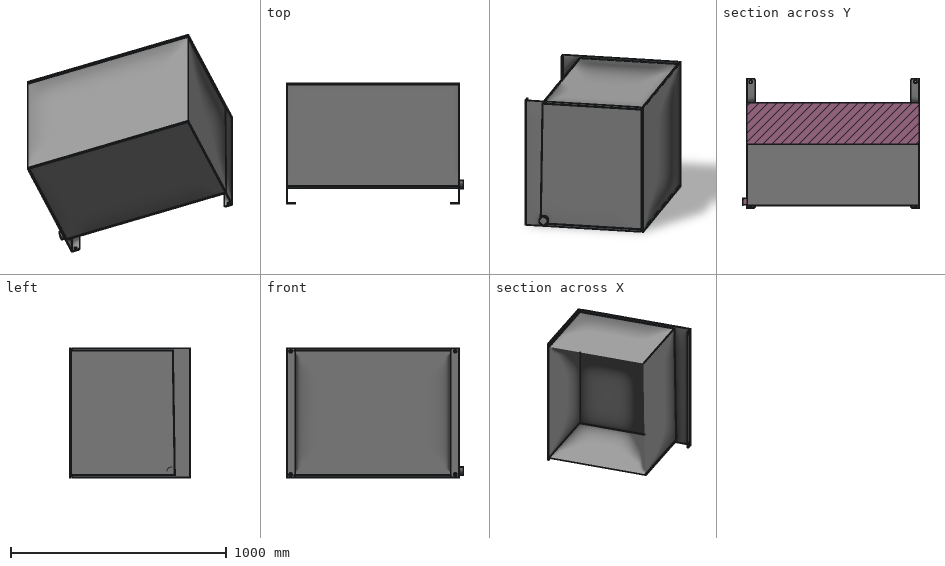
import cadquery as cq

overall_width = 820.0
depth = 559.0
height = 600.0
sheet = 3.0

pin_length = 19.0
width = overall_width - pin_length
back_thickness = 4.0
corner_gap = 8.0
corner_chamfer = 6.5
flange_width = 40.0
flange_corner = 6.5
hole_diameter = 13.0
hole_from_side = 19.0
hole_from_end = 15.0

box_inset = 10.0
front_setback_top = 79.5
front_setback_bottom = 70.5

pin_diameter = 40.0
pin_from_front = 89.0
pin_from_bottom = 29.5


def make_back():
    return cq.Workplane("XY").box(width, back_thickness, height, centered=False).translate(
        (0, depth - back_thickness, 0)
    )


def make_side(x_start):
    """Upright side plate, clear of the back plate above and below the box."""
    plate = cq.Workplane("XY").box(sheet, depth - corner_gap, height, centered=False)
    plate = plate.edges(">Y and (>Z or <Z)").chamfer(corner_chamfer)
    return plate.translate((x_start, 0, 0))


def make_flange(x_start, free_side):
    """Front flange with clipped corners on its free edge."""
    flange = cq.Workplane("XY").box(flange_width, sheet, height, centered=False)
    flange = flange.edges(f"|Y and {free_side}").chamfer(flange_corner)
    return flange.translate((x_start, 0, 0))


def make_box():
    """Hollow sheet-metal box whose ends are closed by the side plates."""
    box_top = height - box_inset
    box_back = depth - back_thickness
    outer = (
        cq.Workplane("YZ")
        .moveTo(front_setback_bottom, box_inset)
        .lineTo(box_back, box_inset)
        .lineTo(box_back, box_top)
        .lineTo(front_setback_top, box_top)
        .close()
    )
    return outer.extrude(width).faces(">X").shell(-sheet)


def make_pin():
    return (
        cq.Workplane("YZ", origin=(width - sheet, pin_from_front, pin_from_bottom))
        .circle(pin_diameter / 2)
        .extrude(pin_length + sheet)
    )


def make_holes():
    hole_points = [
        (x, z)
        for x in (hole_from_side, width - hole_from_side)
        for z in (hole_from_end, height - hole_from_end)
    ]
    return (
        cq.Workplane("XZ", origin=(0, sheet, 0))
        .pushPoints(hole_points)
        .circle(hole_diameter / 2)
        .extrude(sheet)
    )


result = (
    make_back()
    .union(make_box())
    .union(make_side(0))
    .union(make_side(width - sheet))
    .union(make_flange(0, ">X"))
    .union(make_flange(width - flange_width, "<X"))
    .union(make_pin())
    .cut(make_holes())
)